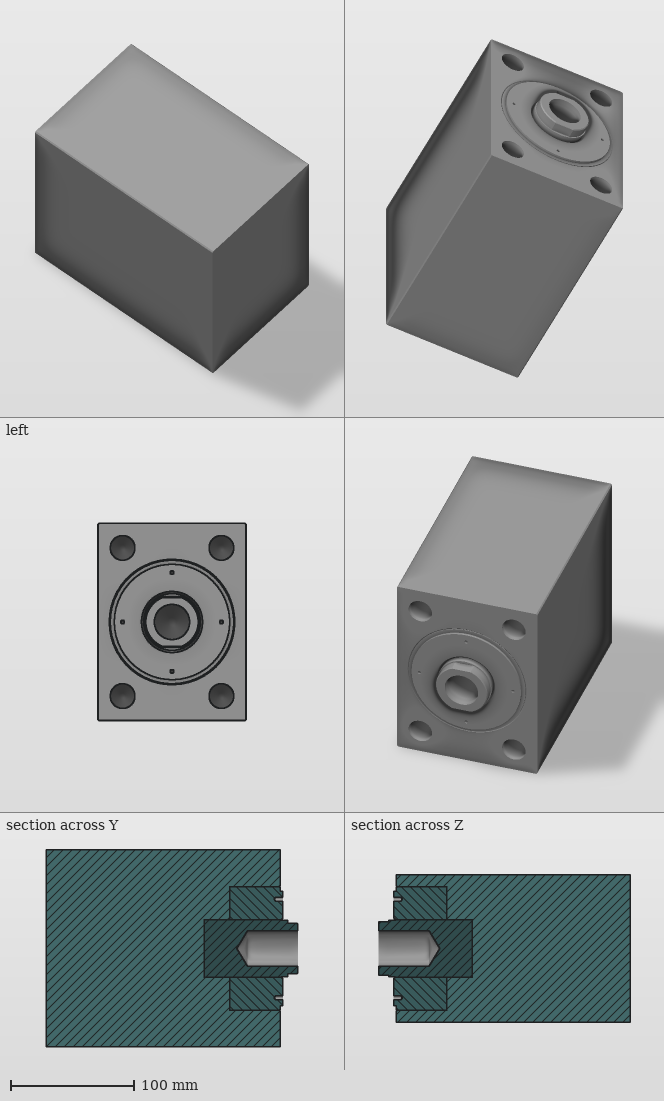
import cadquery as cq
import math

overall_length = 204.0
rod_reach = 14.3
block_length = overall_length - rod_reach
block_width = 120.0
block_height = 160.0
block_edge_chamfer = 1.0

mount_hole_diameter = 20.0
mount_hole_depth = 40.8
mount_spacing_y = 80.0
mount_spacing_z = 120.0
drill_point_angle = 118.0

gland_diameter = 100.0
gland_depth = 40.8
gland_seat_chamfer = 0.8
raised_face_diameter = 93.5
raised_face_height = 2.2
gland_bore_chamfer = 1.8
spanner_hole_diameter = 2.9
spanner_hole_depth = 6.1
spanner_circle_diameter = 80.0
spanner_hole_count = 4

rod_diameter = 46.0
rod_depth_past_gland = 20.5
rod_inner_end = gland_depth + rod_depth_past_gland
nose_diameter = 44.0
nose_length = 8.2
nose_chamfer = 0.8
flat_distance = 41.0
rod_hole_diameter = 28.5
rod_hole_depth = 40.8


def cylinder_x(diameter, start, end):
    """Cylinder on the X axis between two X positions."""
    return cq.Workplane("YZ", origin=(start, 0, 0)).circle(diameter / 2).extrude(end - start)


def drilled_hole(diameter, depth):
    """Cutting tool along +X from X = 0: full diameter to the depth, then a drill point."""
    radius = diameter / 2
    point_length = radius / math.tan(math.radians(drill_point_angle / 2))
    return (
        cq.Workplane("XY")
        .polyline([(0, 0), (0, radius), (depth, radius), (depth + point_length, 0)])
        .close()
        .revolve(360, (0, 0, 0), (1, 0, 0))
    )


def make_block():
    block = (
        cq.Workplane("XY")
        .box(block_length, block_width, block_height, centered=(False, True, True))
        .edges("|X")
        .chamfer(block_edge_chamfer)
    )

    seat = cylinder_x(gland_diameter, 0, gland_depth)
    rod_bore = cylinder_x(rod_diameter, 0, rod_inner_end)
    block = block.cut(seat).cut(rod_bore)

    seat_radius = gland_diameter / 2
    mouth_radius = seat_radius + gland_seat_chamfer
    lead_in = (
        cq.Workplane("XY")
        .polyline([(0, seat_radius), (0, mouth_radius), (gland_seat_chamfer, seat_radius)])
        .close()
        .revolve(360, (0, 0, 0), (1, 0, 0))
    )
    block = block.cut(lead_in)

    mount_hole = drilled_hole(mount_hole_diameter, mount_hole_depth)
    for side_y in (-1, 1):
        for side_z in (-1, 1):
            position = (0, side_y * mount_spacing_y / 2, side_z * mount_spacing_z / 2)
            block = block.cut(mount_hole.translate(position))
    return block


def make_gland():
    gland = cylinder_x(gland_diameter, 0, gland_depth)
    gland = gland.union(cylinder_x(raised_face_diameter, -raised_face_height, 0))
    gland = gland.cut(cylinder_x(rod_diameter, -raised_face_height, gland_depth))
    gland = gland.faces("<X").edges(cq.selectors.RadiusNthSelector(0)).chamfer(gland_bore_chamfer)

    spanner_hole = drilled_hole(spanner_hole_diameter, spanner_hole_depth)
    spanner_hole = spanner_hole.translate((-raised_face_height, spanner_circle_diameter / 2, 0))
    for index in range(spanner_hole_count):
        angle = index * 360 / spanner_hole_count
        gland = gland.cut(spanner_hole.rotate((0, 0, 0), (1, 0, 0), angle))
    return gland


def make_rod():
    nose_base = nose_length - rod_reach
    nose = cylinder_x(nose_diameter, -rod_reach, nose_base)
    flats = cq.Workplane("XY", origin=(-rod_reach, 0, 0)).box(
        nose_length, nose_diameter, flat_distance, centered=(False, True, True)
    )
    nose = nose.intersect(flats).faces("<X").chamfer(nose_chamfer)
    rod = nose.union(cylinder_x(rod_diameter, nose_base, rod_inner_end))
    return rod.cut(drilled_hole(rod_hole_diameter, rod_hole_depth).translate((-rod_reach, 0, 0)))


block = make_block()
gland = make_gland()
rod = make_rod()

result = cq.Compound.makeCompound([block.val(), gland.val(), rod.val()])